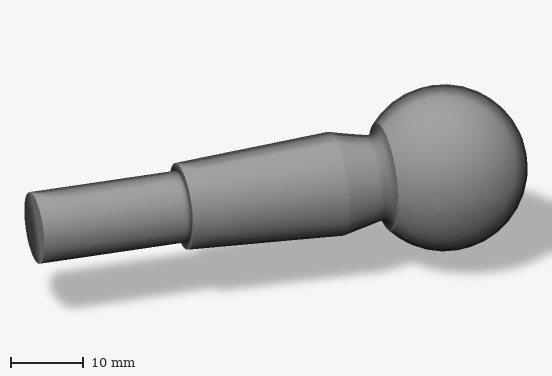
import cadquery as cq
import math

total_length = 70.0
ball_radius = 11.5
neck_radius = 6.0
collar_radius = 7.2
body_end_radius = 6.0
pin_radius = 5.0

pin_length = 21.0
body_length = 22.0
flare_length = 5.25
fillet_length = 1.6

ball_top = ball_radius
pin_end = ball_top - total_length
body_end = pin_end + pin_length
collar = body_end + body_length
neck = collar + flare_length
ball_joint = neck + fillet_length
ball_joint_radius = math.sqrt(ball_radius**2 - ball_joint**2)

profile = (
    cq.Workplane("XY")
    .moveTo(0, pin_end)
    .lineTo(pin_radius, pin_end)
    .lineTo(pin_radius, body_end)
    .lineTo(body_end_radius, body_end)
    .lineTo(collar_radius, collar)
    .lineTo(neck_radius, neck)
    .tangentArcPoint((ball_joint_radius, ball_joint), relative=False)
    .threePointArc((ball_radius, 0), (0, ball_top))
    .close()
)

result = profile.revolve(360, (0, 0, 0), (0, 1, 0))